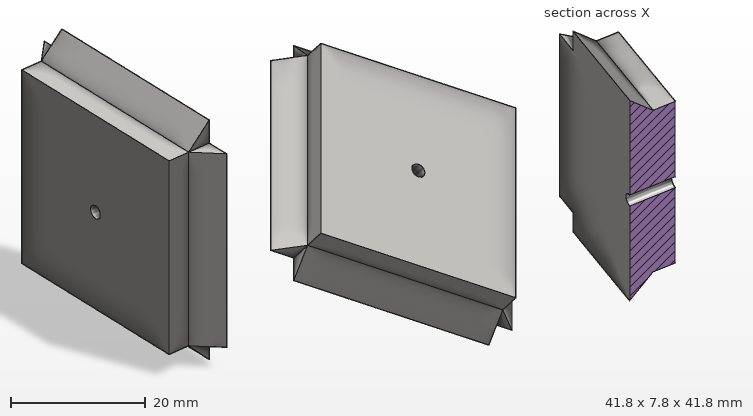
import cadquery as cq

overall_size = 41.8
thickness = 7.8

plate_size = 33.8
wedge_reach = (overall_size - plate_size) / 2
wedge_depth = wedge_reach
hole_diameter = 2.2

half_plate = plate_size / 2
back_y = thickness / 2


def make_plate():
    """Square plate standing in the XZ plane, centred on the origin."""
    return cq.Workplane("XY").box(plate_size, thickness, plate_size)


def make_top_wedge():
    """Triangular rail on the top edge, widest at the back face."""
    return (
        cq.Workplane("YZ")
        .moveTo(back_y, half_plate)
        .lineTo(back_y, half_plate + wedge_reach)
        .lineTo(back_y - wedge_depth, half_plate)
        .close()
        .extrude(half_plate, both=True)
    )


def make_center_hole():
    """Cutter for the round hole through the plate."""
    return cq.Workplane("XZ").circle(hole_diameter / 2).extrude(thickness, both=True)


result = make_plate()
for angle in (0, 90, 180, 270):
    result = result.union(make_top_wedge().rotate((0, 0, 0), (0, 1, 0), angle))
result = result.cut(make_center_hole())